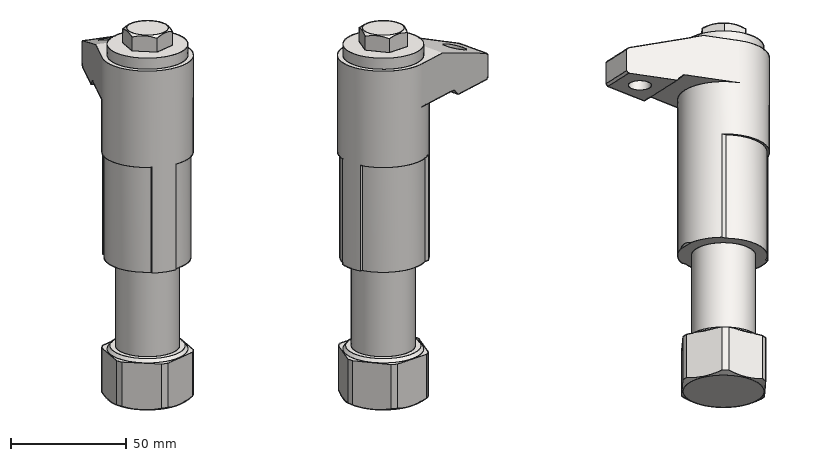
import cadquery as cq
import math


total_height = 170.5
nut_height = 21.8
collar_top = 23.4
sleeve_bottom = 64.3
relief_top = 113.2
sleeve_top = 157.9
washer_top = 163.0

post_radius = 14.0
nut_flats = 36.0
collar_base_radius = 17.5
collar_top_radius = 16.4
nut_end_radius = 17.5

sleeve_radius = 20.0
relief_radius = 19.0
front_land_half_width = 16.5
rear_land_half_width = 5.6
bevel_depth = 0.43
bevel_height = 1.0

arm_reach = 55.0
tip_half_width = 8.4
arm_underside = 138.0
foot_bottom = 134.9
foot_length = 22.8
foot_step = arm_underside - foot_bottom
tip_top = 147.0
slope_start_x = -20.3
tip_chamfer = 1.0
arm_hole_x = -43.0
arm_hole_diameter = 10.0

washer_radius = 17.5
head_flats = 19.0
head_end_radius = 9.0

hex_chamfer_angle = math.radians(30)


def cylinder(radius, bottom, top):
    return cq.Workplane("XY").workplane(offset=bottom).circle(radius).extrude(top - bottom)


def hexagon(flats, bottom, top):
    """Hexagonal prism with two corners on the X axis."""
    corner_diameter = flats / math.cos(math.pi / 6)
    return cq.Workplane("XY").workplane(offset=bottom).polygon(6, corner_diameter).extrude(top - bottom)


def turned_envelope(end_radius, outer_radius, end_z, other_z):
    """Turned solid from end_z to other_z, with a conical chamfer at end_z."""
    chamfer_height = (outer_radius - end_radius) * math.tan(hex_chamfer_angle)
    chamfer_z = end_z + math.copysign(chamfer_height, other_z - end_z)
    profile = [(0, end_z), (end_radius, end_z), (outer_radius, chamfer_z), (outer_radius, other_z), (0, other_z)]
    return cq.Workplane("XZ").polyline(profile).close().revolve(360, (0, 0), (0, 1))


def make_post():
    nut = hexagon(nut_flats, 0, nut_height)
    nut = nut.intersect(turned_envelope(nut_end_radius, sleeve_radius, 0, nut_height))
    collar_profile = [
        (0, nut_height),
        (collar_base_radius, nut_height),
        (collar_top_radius, collar_top),
        (0, collar_top),
    ]
    collar = cq.Workplane("XZ").polyline(collar_profile).close().revolve(360, (0, 0), (0, 1))
    return nut.union(collar).union(cylinder(post_radius, collar_top, sleeve_top))


def make_arm():
    tip_distance = math.hypot(arm_reach, tip_half_width)
    tangent_angle = (
        math.pi - math.atan2(tip_half_width, arm_reach) - math.acos(sleeve_radius / tip_distance)
    )
    tangent_x = sleeve_radius * math.cos(tangent_angle)
    tangent_y = sleeve_radius * math.sin(tangent_angle)
    plan = (
        cq.Workplane("XY").workplane(offset=foot_bottom)
        .moveTo(-arm_reach, -tip_half_width)
        .lineTo(tangent_x, -tangent_y)
        .lineTo(tangent_x, tangent_y)
        .lineTo(-arm_reach, tip_half_width)
        .close()
        .extrude(sleeve_top - foot_bottom)
    )
    foot_end_x = -arm_reach + foot_length
    side_profile = [
        (-arm_reach, foot_bottom + tip_chamfer),
        (-arm_reach + tip_chamfer, foot_bottom),
        (foot_end_x, foot_bottom),
        (foot_end_x + foot_step, arm_underside),
        (0, arm_underside),
        (0, sleeve_top),
        (slope_start_x, sleeve_top),
        (-arm_reach + tip_chamfer, tip_top),
        (-arm_reach, tip_top - tip_chamfer),
    ]
    side = cq.Workplane("XZ").polyline(side_profile).close().extrude(sleeve_radius, both=True)
    hole = cylinder(arm_hole_diameter / 2, foot_bottom, sleeve_top).translate((arm_hole_x, 0, 0))
    return plan.intersect(side).cut(hole)


def make_relief():
    """Material turned off both flanks of the sleeve, leaving a full-radius land on -X and on +X."""
    height = relief_top - sleeve_bottom
    relief = cylinder(2 * sleeve_radius, sleeve_bottom, relief_top)
    relief = relief.cut(cylinder(relief_radius, sleeve_bottom, relief_top))
    for direction, half_width in [(-1, front_land_half_width), (1, rear_land_half_width)]:
        land = (
            cq.Workplane("XY")
            .box(2 * sleeve_radius, 2 * half_width, height)
            .translate((direction * sleeve_radius, 0, sleeve_bottom + height / 2))
        )
        relief = relief.cut(land)
    return relief


def make_bevel():
    """Wedge that takes a small flat bevel off the sleeve's lower edge on the arm side."""
    profile = [
        (-sleeve_radius, sleeve_bottom),
        (-sleeve_radius + bevel_depth, sleeve_bottom),
        (-sleeve_radius, sleeve_bottom + bevel_height),
    ]
    return cq.Workplane("XZ").polyline(profile).close().extrude(sleeve_radius, both=True)


def make_clamp():
    sleeve = cylinder(sleeve_radius, sleeve_bottom, sleeve_top).cut(make_relief()).cut(make_bevel())
    clamp = sleeve.union(make_arm())
    return clamp.cut(cylinder(post_radius, sleeve_bottom, sleeve_top))


def make_cap_screw():
    corner_radius = head_flats / 2 / math.cos(math.pi / 6)
    head = hexagon(head_flats, washer_top, total_height)
    head = head.intersect(turned_envelope(head_end_radius, corner_radius, total_height, washer_top))
    return cylinder(washer_radius, sleeve_top, washer_top).union(head)


post = make_post()
clamp = make_clamp()
cap_screw = make_cap_screw()
result = cq.Compound.makeCompound([post.val(), clamp.val(), cap_screw.val()])